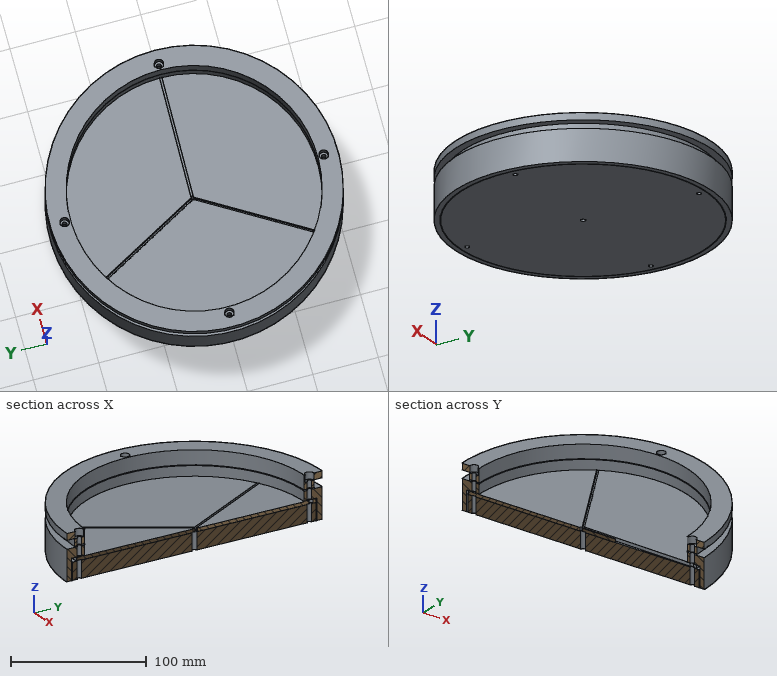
import cadquery as cq
import math

outer_diameter = 220
total_height = 39.4
housing_height = 26.6
sector_top = 18.0
sector_thickness = 2.9
base_height = sector_top - sector_thickness

window_diameter = 188.8
neck_diameter = 206.8
flange_thickness = 6.0
lid_gap = 0.7
neck_bottom = housing_height + lid_gap
flange_bottom = total_height - flange_thickness

cavity_diameter = 211.2
base_diameter = 210.0
sector_diameter = 206.8

screw_count = 4
screw_circle_diameter = 198
screw_hole_diameter = 3.5
screw_head_diameter = 7.0
screw_head_depth = flange_thickness
center_hole_diameter = 4.0

sector_count = 3
sector_angle = 360 / sector_count
sector_gap = 1.8
sector_turn = -1
sector_shift = (-0.9, 1.43)


def cylinder(diameter, bottom, top):
    """Cylinder on the Z axis between two heights."""
    return cq.Workplane("XY").workplane(offset=bottom).circle(diameter / 2).extrude(top - bottom)


def screw_pattern(diameter, bottom, top):
    """Cylinders at the screw positions, between two heights."""
    return (
        cq.Workplane("XY")
        .workplane(offset=bottom)
        .polarArray(screw_circle_diameter / 2, 0, 360, screw_count)
        .circle(diameter / 2)
        .extrude(top - bottom)
    )


def make_lid():
    """Flanged ring with a neck and counterbored screw holes."""
    flange = cylinder(outer_diameter, flange_bottom, total_height)
    neck = cylinder(neck_diameter, neck_bottom, flange_bottom)
    window = cylinder(window_diameter, neck_bottom, total_height)
    holes = screw_pattern(screw_hole_diameter, neck_bottom, total_height)
    heads = screw_pattern(screw_head_diameter, total_height - screw_head_depth, total_height)
    return flange.union(neck).cut(window).cut(holes).cut(heads)


def make_housing():
    """Ring with an inward lip above a wider cavity."""
    body = cylinder(outer_diameter, 0, housing_height)
    window = cylinder(window_diameter, sector_top, housing_height)
    cavity = cylinder(cavity_diameter, 0, sector_top)
    holes = screw_pattern(screw_hole_diameter, sector_top, housing_height)
    return body.cut(window).cut(cavity).cut(holes)


def make_base():
    """Disc that carries the sectors, with a center hole and the screw holes."""
    disc = cylinder(base_diameter, 0, base_height)
    center_hole = cylinder(center_hole_diameter, 0, base_height)
    holes = screw_pattern(screw_hole_diameter, 0, base_height)
    return disc.cut(center_hole).cut(holes)


def make_sector(index):
    """One third of a drilled disc, trimmed by half a gap along both straight edges."""
    start = index * sector_angle
    middle = math.radians(start + sector_angle / 2)

    tip_distance = sector_gap / 2 / math.sin(math.radians(sector_angle / 2))
    tip = (tip_distance * math.cos(middle), tip_distance * math.sin(middle))

    wedge_points = [tip]
    for angle in (start, start + sector_angle / 2, start + sector_angle):
        direction = math.radians(angle)
        wedge_points.append(
            (tip[0] + outer_diameter * math.cos(direction), tip[1] + outer_diameter * math.sin(direction))
        )
    wedge = (
        cq.Workplane("XY")
        .workplane(offset=base_height)
        .polyline(wedge_points)
        .close()
        .extrude(sector_thickness)
    )

    disc = cylinder(sector_diameter, base_height, sector_top)
    holes = screw_pattern(screw_hole_diameter, base_height, sector_top)
    sector = disc.cut(holes).intersect(wedge)
    return sector.rotate((0, 0, 0), (0, 0, 1), sector_turn).translate((*sector_shift, 0))


lid = make_lid().solids().val()
housing = make_housing().solids().val()
base = make_base().solids().val()
sectors = [make_sector(index).solids().val() for index in range(sector_count)]

result = cq.Compound.makeCompound([lid, housing, base, *sectors])